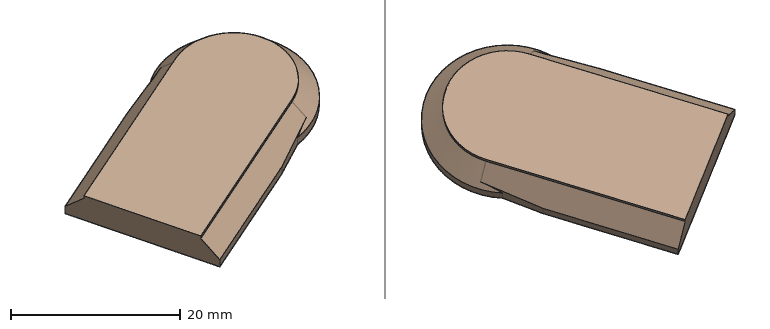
import cadquery as cq

length = 35.15
width = 20.3
height = 4.15
base_height = 1.23
bevel = 2.5
taper_start = 16.98
taper_depth = 0.65

head_radius = width / 2
head_center = length - head_radius
top_half_width = head_radius - bevel
bevel_top = base_height + bevel
neck_half_width = head_radius - taper_depth


def half_section(plane):
    """Half of the bevelled cross-section, from the centre line outward."""
    return (
        cq.Workplane(plane)
        .moveTo(0, 0)
        .lineTo(head_radius, 0)
        .lineTo(head_radius, base_height)
        .lineTo(top_half_width, bevel_top)
        .lineTo(top_half_width, height)
        .lineTo(0, height)
        .close()
    )


def make_body():
    """Straight bevelled bar, trimmed by sides that narrow toward the head."""
    half_bar = half_section("XZ").extrude(-head_center)
    bar = half_bar.union(half_bar.mirror("YZ"))
    tapered_plan = (
        cq.Workplane("XY")
        .polyline([
            (-head_radius, 0),
            (head_radius, 0),
            (head_radius, taper_start),
            (neck_half_width, head_center),
            (-neck_half_width, head_center),
            (-head_radius, taper_start),
        ])
        .close()
        .extrude(height)
    )
    return bar.intersect(tapered_plan)


def make_head():
    """Round head: the same section revolved about a vertical axis."""
    head = half_section("XZ").revolve(360, (0, 0, 0), (0, 1, 0))
    return head.translate((0, head_center, 0))


result = make_body().union(make_head())